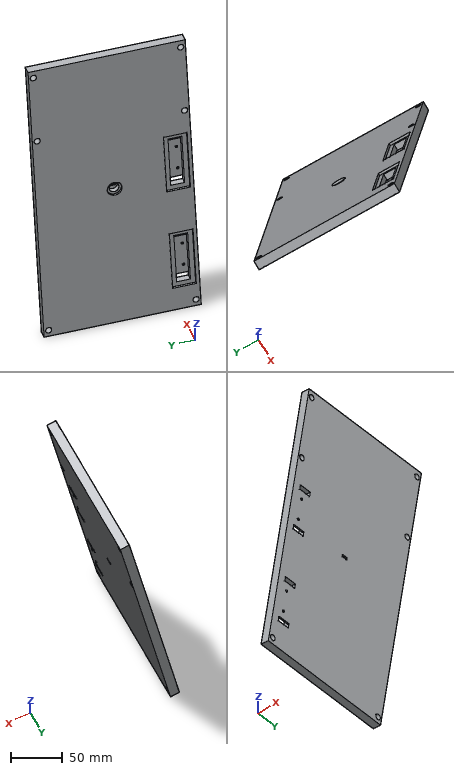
import cadquery as cq
import math

overall_height = 312.2
panel_width = 160.0
panel_thickness = 10.0
lean_angle = 10.0
lean = math.radians(lean_angle)
panel_length = (overall_height - panel_thickness * math.sin(lean)) / math.cos(lean)

mount_diameter = 6.2
mount_edge_inset = 5.0
mount_distances_from_top = (7.8, 83.0, 308.0)

bore_from_top = 158.0
web_thickness = 2.0
web_depth = panel_thickness - web_thickness
bore_diameter = 10.0
counterbore_diameter = 15.0
counterbore_depth = 2.5
bore_slot_width = 6.2
bore_slot_height = 2.5

pocket_y = -64.3
pocket_distances_from_top = (142.0, 257.0)
recess_width = 24.0
recess_height = 65.0
recess_depth = 2.5
ledge_width = 5.0
well_width = recess_width - 2 * ledge_width
well_height = recess_height - 2 * ledge_width
window_height = 5.3
pin_diameter = 2.3
pin_offset_y = -2.5
pin_spacing = 25.3

front_x = -panel_thickness / 2
top_z = panel_length / 2


def box_cut(y, z, width, height, depth):
    """Rectangular cutter going inwards from the front face."""
    center_x = front_x + depth / 2
    return cq.Workplane("XY").box(depth, width, height).translate((center_x, y, z))


def round_cut(y, z, diameter, depth):
    """Cylindrical cutter going inwards from the front face."""
    face = cq.Workplane("YZ", origin=(front_x, y, z))
    return face.circle(diameter / 2).extrude(depth)


def cut_mounting_holes(body):
    hole_y = panel_width / 2 - mount_edge_inset
    for y in (-hole_y, hole_y):
        for from_top in mount_distances_from_top:
            body = body.cut(round_cut(y, top_z - from_top, mount_diameter, panel_thickness))
    return body


def cut_central_hole(body):
    z = top_z - bore_from_top
    body = body.cut(round_cut(0, z, counterbore_diameter, counterbore_depth))
    body = body.cut(round_cut(0, z, bore_diameter, web_depth))
    return body.cut(box_cut(0, z, bore_slot_width, bore_slot_height, panel_thickness))


def cut_pocket(body, z):
    body = body.cut(box_cut(pocket_y, z, recess_width, recess_height, recess_depth))
    body = body.cut(box_cut(pocket_y, z, well_width, well_height, web_depth))
    window_offset = (well_height - window_height) / 2
    for side in (-1, 1):
        window_z = z + side * window_offset
        body = body.cut(box_cut(pocket_y, window_z, well_width, window_height, panel_thickness))
        pin_z = z + side * pin_spacing / 2
        body = body.cut(round_cut(pocket_y + pin_offset_y, pin_z, pin_diameter, panel_thickness))
    return body


panel = cq.Workplane("XY").box(panel_thickness, panel_width, panel_length)
panel = cut_mounting_holes(panel)
panel = cut_central_hole(panel)
for distance in pocket_distances_from_top:
    panel = cut_pocket(panel, top_z - distance)

result = panel.rotate((0, 0, 0), (0, 1, 0), lean_angle)